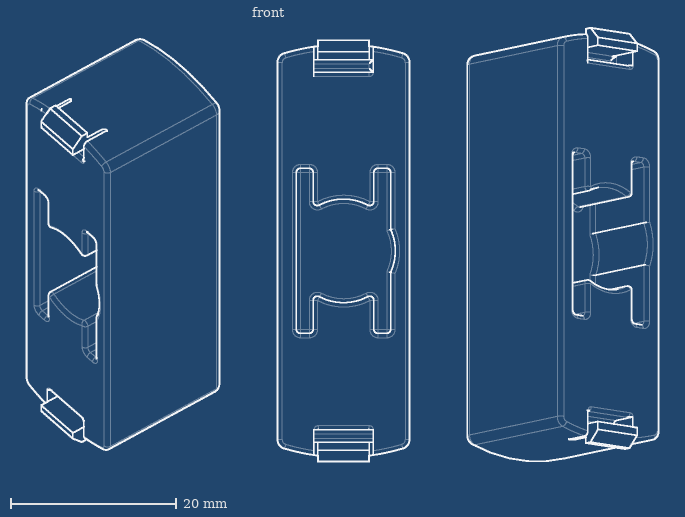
import cadquery as cq
import math

body_width = 16.0
body_depth = 17.95
crown_radius = 25.0
corner_radius = 1.15
back_round = 1.0
front_round = 0.55

small_round = 0.5

hook_width = 6.2
hook_tip_z = 25.5
hook_reach = 1.35
hook_length = 2.25
hook_bevel = 1.4
tab_inner_z = 23.15

tab_gap = 0.47
recess_floor_z = 21.6
recess_depth = 3.55
tab_root_round = 0.45

pocket_width = 11.4
pocket_height = 20.0
pocket_depth = 10.0
post_width = 7.35
bore_radius = 6.25

recess_half_width = hook_width / 2 + tab_gap
overshoot = 0.5
full_turn = 360


def block(x_range, y_range, z_range):
    """Box given by its limits along each axis."""
    lows, highs = zip(x_range, y_range, z_range)
    sizes = [high - low for low, high in zip(lows, highs)]
    return cq.Workplane("XY").box(*sizes, centered=False).translate(lows)


def front_prism(profile, depth):
    """Extrude an XZ profile from the front face into the housing."""
    return profile.extrude(-depth)


def make_body():
    half_width = body_width / 2
    edge_z = math.sqrt(crown_radius**2 - half_width**2)
    outline = (
        cq.Workplane("XZ")
        .moveTo(-half_width, -edge_z)
        .lineTo(-half_width, edge_z)
        .threePointArc((0, crown_radius), (half_width, edge_z))
        .lineTo(half_width, -edge_z)
        .threePointArc((0, -crown_radius), (-half_width, -edge_z))
        .close()
    )
    body = front_prism(outline, body_depth)
    body = body.edges("|Y").fillet(corner_radius)
    body = body.faces(">Y").edges().fillet(back_round)
    return body.faces("<Y").edges().fillet(front_round)


def make_pocket():
    """H-shaped pocket; a round bore forms its waist and bulges through the +X wall."""
    half_width = pocket_width / 2
    leg_width = (pocket_width - post_width) / 2
    bore = front_prism(cq.Workplane("XZ").circle(bore_radius), pocket_depth)
    bore_range = (-bore_radius, bore_radius)
    pocket = bore.intersect(block((-half_width, bore_radius), (0, pocket_depth), bore_range))
    for side in (-1, 1):
        leg_center = cq.Workplane("XZ").center(side * (half_width - leg_width / 2), 0)
        pocket = pocket.union(front_prism(leg_center.rect(leg_width, pocket_height), pocket_depth))

    bulge_half_height = math.sqrt(bore_radius**2 - half_width**2)
    corner_edges = [
        edge
        for edge in pocket.edges("|Y").vals()
        if abs(edge.Center().z) > bulge_half_height + small_round
    ]
    pocket = pocket.newObject(corner_edges).fillet(small_round)
    return pocket.faces(">Y").edges().fillet(small_round)


def make_recess(inner_end_edges):
    """Clearance around the upper tab: a channel under it and a slot along each side."""
    y_range = (-overshoot, recess_depth)
    channel = block((-recess_half_width, recess_half_width), y_range, (recess_floor_z, tab_inner_z))
    recess = channel.faces(">Y").edges(inner_end_edges).fillet(small_round)
    half_width = hook_width / 2
    slot = block((half_width, recess_half_width), y_range, (tab_inner_z, hook_tip_z))
    slot = slot.faces(">Y").edges("<X").fillet(tab_root_round)
    return recess.union(slot).union(slot.mirror("YZ"))


def make_hook():
    """Upper snap hook with a bevelled nose."""
    return (
        cq.Workplane("YZ")
        .moveTo(-hook_reach, tab_inner_z)
        .lineTo(-hook_reach, hook_tip_z - hook_bevel)
        .lineTo(hook_bevel - hook_reach, hook_tip_z)
        .lineTo(hook_length - hook_reach, hook_tip_z)
        .lineTo(hook_length - hook_reach, tab_inner_z)
        .close()
        .extrude(hook_width / 2, both=True)
    )


def make_recess_flare(both_corners):
    """Rounded mouth of the upper recess floor, curling round the +X corner or both corners."""
    corner_x = recess_half_width - small_round
    left_end = -corner_x if both_corners else -recess_half_width
    lip_z = recess_floor_z - small_round
    diagonal = small_round * (1 - math.sqrt(0.5))

    def flare_profile(x):
        return (
            cq.Workplane("YZ", origin=(x, 0, 0))
            .moveTo(0, lip_z)
            .threePointArc((diagonal, recess_floor_z - diagonal), (small_round, recess_floor_z))
            .lineTo(0, recess_floor_z)
            .close()
        )

    flare = flare_profile(left_end).extrude(corner_x - left_end)
    axis = ((0, recess_floor_z), (1, recess_floor_z))
    flare = flare.union(flare_profile(corner_x).revolve(full_turn, *axis))
    if both_corners:
        flare = flare.union(flare_profile(left_end).revolve(full_turn, *axis))
    return flare


def round_pocket_mouth(part):
    """Round the front edge of the pocket."""
    reach = bore_radius + overshoot
    mouth = cq.selectors.BoxSelector(
        (-reach, -overshoot, -pocket_height), (reach, small_round / 2, pocket_height), boundingbox=False
    )
    return part.faces("<Y").edges(mouth).fillet(small_round)


result = round_pocket_mouth(make_body().cut(make_pocket()))
upper_recess = make_recess("|X or >X").union(make_recess_flare(both_corners=False))
lower_recess = make_recess("|X").union(make_recess_flare(both_corners=True))
result = result.cut(upper_recess).cut(lower_recess.mirror("XY"))
hook = make_hook()
result = result.union(hook).union(hook.mirror("XY"))